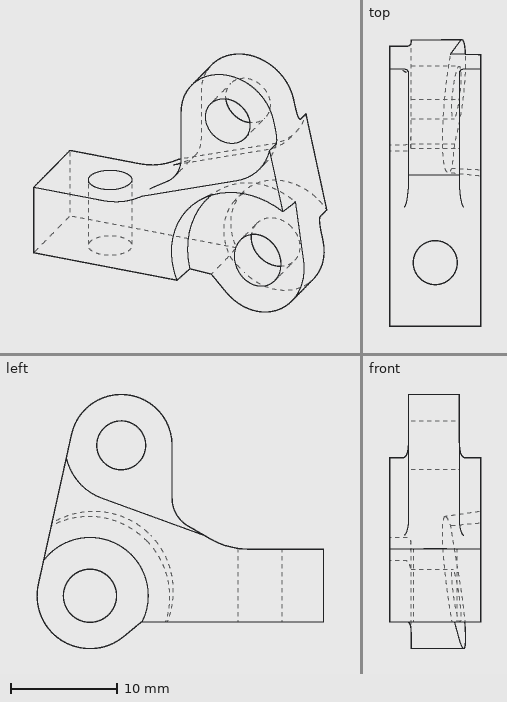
import cadquery as cq
import math

width = 8.6
over = 2.7

pivot_radius = 5.0
pivot_hole_diameter = 5.0

lug_y = -2.95
lug_z = 14.18
lug_radius = 4.8
lug_hole_diameter = 4.6
lug_left_x = 1.78
lug_right_x = lug_left_x + 4.8
lug_root_radius = 3.0

arm_end_y = pivot_radius - 27.0
arm_top_z = 4.4
arm_bottom_z = -2.48
heel_y = -4.83
slope_foot_y = -13.01
slope_angle = math.radians(30)
arm_blend_radius = 7.0
arm_hole_y = -16.0
arm_hole_diameter = 4.13

cove_radius = 0.5
shoulder_angle = math.radians(20)
shoulder_radius = lug_radius + cove_radius
left_recess_depth = 2.02
left_recess_radius = pivot_radius + cove_radius
right_floor_x = 6.3
right_recess_radius = 7.55
recess_tilt = math.radians(10)
recess_tilt_direction = math.radians(37)


def on_circle(y, z, radius, angle):
    return (y + radius * math.cos(angle), z + radius * math.sin(angle))


def side_plane(x):
    return cq.Workplane("YZ", origin=(x, 0, 0))


def hole_along_x(y, z, diameter):
    return side_plane(-over).center(y, z).circle(diameter / 2).extrude(width + 2 * over)


def make_body():
    center_distance = math.hypot(lug_y, lug_z)
    center_angle = math.atan2(lug_z, lug_y)
    tangent_angle = center_angle - math.acos((pivot_radius - lug_radius) / center_distance)
    pivot_tangent = on_circle(0, 0, pivot_radius, tangent_angle)
    lug_tangent = on_circle(lug_y, lug_z, lug_radius, tangent_angle)

    heel_angle = math.atan2(arm_bottom_z, heel_y)
    heel_angle += math.acos(pivot_radius / math.hypot(heel_y, arm_bottom_z))
    heel_tangent = on_circle(0, 0, pivot_radius, heel_angle)
    pivot_middle = on_circle(0, 0, pivot_radius, -math.pi / 4)

    lug_front_y = lug_y - lug_radius
    lug_root_z = arm_top_z + (lug_front_y - slope_foot_y) * math.tan(slope_angle)
    body = (
        side_plane(0)
        .moveTo(*pivot_tangent)
        .lineTo(*lug_tangent)
        .threePointArc((lug_y, lug_z + lug_radius), (lug_front_y, lug_z))
        .lineTo(lug_front_y, lug_root_z)
        .lineTo(slope_foot_y, arm_top_z)
        .lineTo(arm_end_y, arm_top_z)
        .lineTo(arm_end_y, arm_bottom_z)
        .lineTo(heel_y, arm_bottom_z)
        .lineTo(*heel_tangent)
        .threePointArc(pivot_middle, pivot_tangent)
        .close()
        .extrude(width)
    )
    lug_root = cq.selectors.NearestToPointSelector((width / 2, lug_front_y, lug_root_z))
    slope_foot = cq.selectors.NearestToPointSelector((width / 2, slope_foot_y, arm_top_z))
    body = body.edges(lug_root).fillet(lug_root_radius)
    return body.edges(slope_foot).fillet(arm_blend_radius)


def shoulder_cutter(wall_x, length, inner_face):
    """Space beside the lug; its rounded inner rim leaves a cove against the lug wall."""
    back_y = lug_y + shoulder_radius
    top_z = lug_z + lug_radius + over
    arc_end_angle = 1.5 * math.pi + shoulder_angle
    arc_end = on_circle(lug_y, lug_z, shoulder_radius, arc_end_angle)
    arc_middle = on_circle(lug_y, lug_z, shoulder_radius, (arc_end_angle + 2 * math.pi) / 2)
    end_z = arc_end[1] - (arc_end[0] - slope_foot_y) * math.tan(shoulder_angle)
    return (
        side_plane(wall_x)
        .moveTo(back_y, top_z)
        .lineTo(back_y, lug_z)
        .threePointArc(arc_middle, arc_end)
        .lineTo(slope_foot_y, end_z)
        .lineTo(slope_foot_y, top_z)
        .close()
        .extrude(length)
        .faces(inner_face)
        .edges()
        .fillet(cove_radius)
    )


def left_recess():
    return (
        side_plane(-over)
        .circle(left_recess_radius)
        .extrude(over + left_recess_depth)
        .faces(">X")
        .edges()
        .fillet(cove_radius)
    )


def right_recess():
    lean = math.sin(recess_tilt)
    axis = (
        math.cos(recess_tilt),
        -lean * math.sin(recess_tilt_direction),
        lean * math.cos(recess_tilt_direction),
    )
    floor = cq.Plane(origin=(right_floor_x, 0, 0), normal=axis)
    return cq.Workplane(floor).circle(right_recess_radius).extrude(width)


arm_hole = (
    cq.Workplane("XY", origin=(width / 2, arm_hole_y, arm_bottom_z - over))
    .circle(arm_hole_diameter / 2)
    .extrude(arm_top_z - arm_bottom_z + 2 * over)
)

result = (
    make_body()
    .cut(shoulder_cutter(lug_left_x, -(lug_left_x + over), ">X"))
    .cut(shoulder_cutter(lug_right_x, width - lug_right_x + over, "<X"))
    .cut(left_recess())
    .cut(right_recess())
    .cut(hole_along_x(0, 0, pivot_hole_diameter))
    .cut(hole_along_x(lug_y, lug_z, lug_hole_diameter))
    .cut(arm_hole)
)